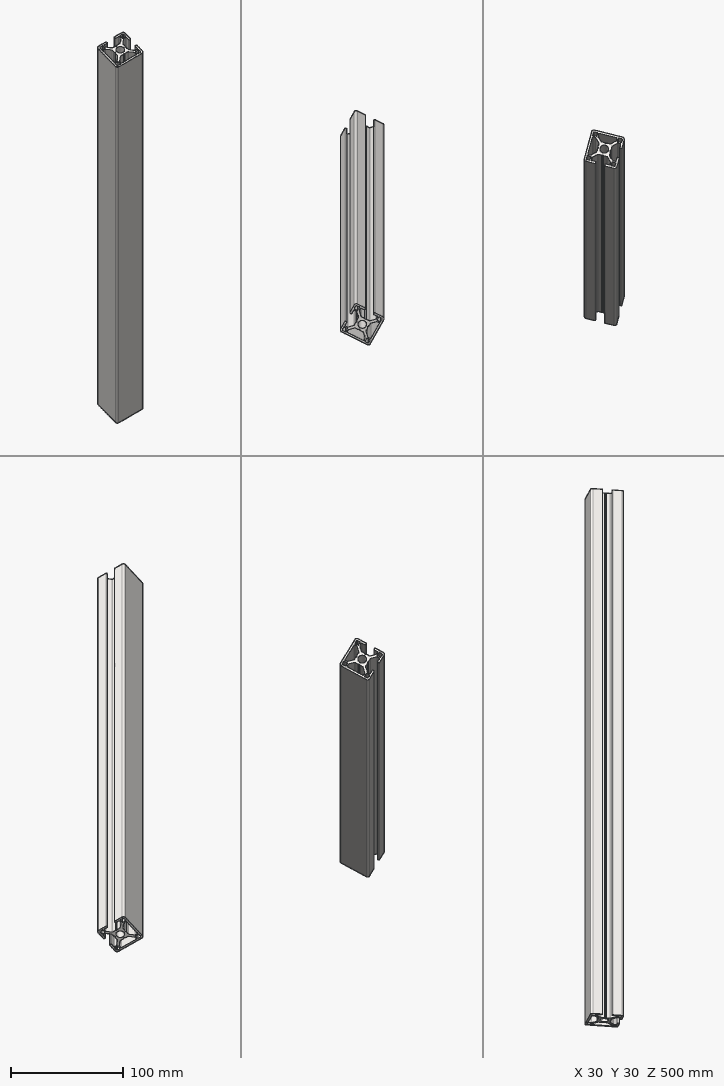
import cadquery as cq


side = 30.0
length = 500.0
corner_radius = 2.0
half_side = side / 2

wall = 2.0
mouth_width = 8.5
cavity_width = 17.0
edge_round = 0.5
floor_distance = 6.0
strut_offset = 1.75
cavity_top = half_side - wall

groove_width = 2.0
groove_depth = 0.5

bore_diameter = 7.5
hollow_size = 3.5
hollow_center = 11.5
hollow_chamfer = 0.5

side_angles = {"+Y": 0, "-X": 90, "-Y": 180, "+X": 270}
open_sides = ("+Y", "-X")


def make_bar():
    bar = cq.Workplane("XY").rect(side, side).extrude(length)
    return bar.edges("|Z").fillet(corner_radius)


def make_cavity():
    """Cavity behind the +Y wall, tapering at 45 degrees to a grooved floor."""
    half_width = cavity_width / 2
    shoulder = half_width + strut_offset
    floor_half_width = floor_distance - strut_offset
    cavity = (
        cq.Workplane("XY")
        .moveTo(-half_width, cavity_top)
        .lineTo(-half_width, shoulder)
        .lineTo(-floor_half_width, floor_distance)
        .lineTo(floor_half_width, floor_distance)
        .lineTo(half_width, shoulder)
        .lineTo(half_width, cavity_top)
        .close()
        .extrude(length)
        .edges("|Z")
        .fillet(edge_round)
    )
    groove = (
        cq.Workplane("XY")
        .moveTo(-groove_width / 2, floor_distance)
        .lineTo(0, floor_distance - groove_depth)
        .lineTo(groove_width / 2, floor_distance)
        .close()
        .extrude(length)
    )
    return cavity.union(groove)


def make_mouth():
    """Opening through the +Y wall, flared at both ends so that the lips are rounded."""
    half_width = mouth_width / 2
    flared = half_width + edge_round
    return (
        cq.Workplane("XY")
        .moveTo(-flared, cavity_top)
        .lineTo(flared, cavity_top)
        .radiusArc((half_width, cavity_top + edge_round), edge_round)
        .lineTo(half_width, half_side - edge_round)
        .radiusArc((flared, half_side), edge_round)
        .lineTo(-flared, half_side)
        .radiusArc((-half_width, half_side - edge_round), edge_round)
        .lineTo(-half_width, cavity_top + edge_round)
        .radiusArc((-flared, cavity_top), edge_round)
        .close()
        .extrude(length)
    )


def make_corner_hollow():
    """Square hollow in the +X +Y corner of the bar."""
    hollow = cq.Workplane("XY").center(hollow_center, hollow_center).rect(hollow_size, hollow_size)
    return hollow.extrude(length).edges("|Z").edges(">(1, 1, 0)").chamfer(hollow_chamfer)


def turned(shape, angle):
    return shape.rotate((0, 0, 0), (0, 0, 1), angle)


result = make_bar()

bore = cq.Workplane("XY").circle(bore_diameter / 2).extrude(length)
result = result.cut(bore)

for side_name, angle in side_angles.items():
    result = result.cut(turned(make_cavity(), angle))
    result = result.cut(turned(make_corner_hollow(), angle))
    if side_name in open_sides:
        result = result.cut(turned(make_mouth(), angle))